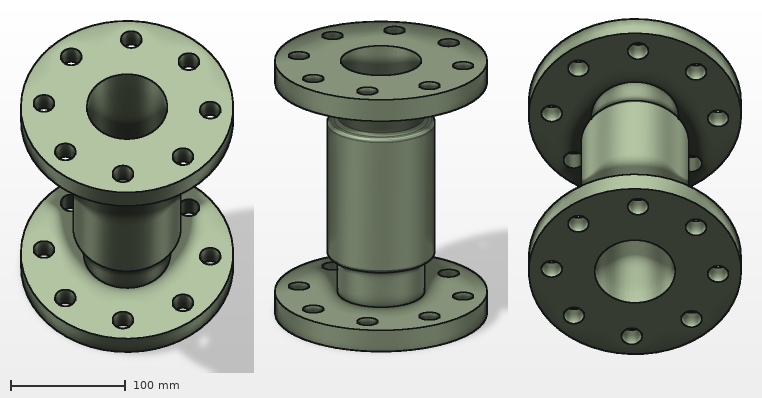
import cadquery as cq

total_length = 236.0
flange_diameter = 185.0
flange_thickness = 20.0

bore_diameter = 70.0
neck_diameter = 76.0
body_diameter = 94.0
body_length = 126.0
edge_radius = 3.0
root_radius = 3.0

bolt_count = 8
bolt_circle_diameter = 145.0
bolt_hole_diameter = 18.0
bolt_start_angle = 360.0 / bolt_count / 2


def make_pipe():
    """Flanged pipe without bolt holes: its wall section revolved about Z."""
    top = total_length / 2
    flange_inner = top - flange_thickness
    shoulder = body_length / 2
    body_end = shoulder - edge_radius
    neck_end = shoulder + root_radius
    bore_radius = bore_diameter / 2
    neck_radius = neck_diameter / 2
    body_radius = body_diameter / 2
    flange_radius = flange_diameter / 2
    shoulder_outer = body_radius - edge_radius
    shoulder_inner = neck_radius + root_radius

    section = (
        cq.Workplane("XZ")
        .moveTo(bore_radius, -top)
        .lineTo(flange_radius, -top)
        .lineTo(flange_radius, -flange_inner)
        .lineTo(neck_radius, -flange_inner)
        .lineTo(neck_radius, -neck_end)
        .radiusArc((shoulder_inner, -shoulder), root_radius)
        .lineTo(shoulder_outer, -shoulder)
        .radiusArc((body_radius, -body_end), -edge_radius)
        .lineTo(body_radius, body_end)
        .radiusArc((shoulder_outer, shoulder), -edge_radius)
        .lineTo(shoulder_inner, shoulder)
        .radiusArc((neck_radius, neck_end), root_radius)
        .lineTo(neck_radius, flange_inner)
        .lineTo(flange_radius, flange_inner)
        .lineTo(flange_radius, top)
        .lineTo(bore_radius, top)
        .close()
    )
    return section.revolve(360, (0, 0, 0), (0, 1, 0))


def make_bolt_holes():
    """Ring of cylinders that cut the bolt holes through both flanges."""
    return (
        cq.Workplane("XY")
        .workplane(offset=-total_length / 2)
        .polarArray(bolt_circle_diameter / 2, bolt_start_angle, 360, bolt_count)
        .circle(bolt_hole_diameter / 2)
        .extrude(total_length)
    )


result = make_pipe().cut(make_bolt_holes())